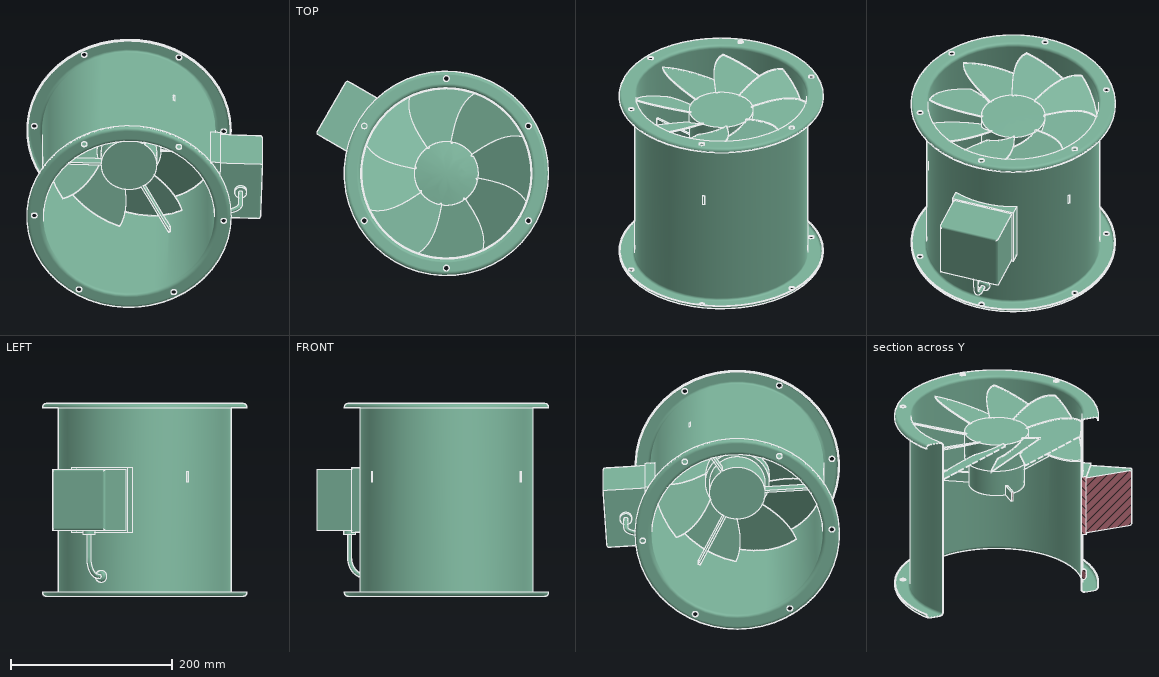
import cadquery as cq
import math

DUCT_HEIGHT = 240.0
SHEET = 1.5
TUBE_OUTER_RADIUS = 107.5
TUBE_INNER_RADIUS = TUBE_OUTER_RADIUS - SHEET
FLANGE_DIAMETER = 254.0
FLANGE_RADIUS = FLANGE_DIAMETER / 2
FLANGE_DEPTH = 5.8
BEND_INNER_RADIUS = 3.5
BEND_OUTER_RADIUS = BEND_INNER_RADIUS + SHEET
BOLT_COUNT = 6
BOLT_CIRCLE_RADIUS = 117.7
BOLT_HOLE_DIAMETER = 7.0
FIRST_BOLT_ANGLE = 30

HUB_RADIUS = 39.7
HUB_BOTTOM = 178.5
HUB_RIM = 214.7
HUB_DOME_RISE = 3.7
BLADE_COUNT = 8
BLADE_TIP_RADIUS = 105.3
BLADE_THICKNESS = 1.5
BLADE_PITCH = 28.4
BLADE_AXIS_HEIGHT = 202.5
BLADE_ROOT_RADIUS = 26.0
LEADING_EDGE = [(31.0, 23.3), (58.7, 39.7), (78.9, 46.0), (108.0, 39.7)]
TRAILING_EDGE = [(36.0, -11.5), (51.8, -26.8), (78.9, -42.3), (108.0, -44.0)]

MOTOR_RADIUS = 34.5
ARM_BOTTOM = 142.5
ARM_HEIGHT = 13.0
ARM_THICKNESS = 2.5
ARM_REACH = 106.8
ARM_ANGLES = [90, 210, 330]

BOX_ANGLE = 150
BOX_BOTTOM = 81.7
BOX_SIZE = 76.3
BOX_FACE_DISTANCE = 165.0
BOX_EDGE_RADIUS = 3.0
BRACKET_FACE_DISTANCE = 112.5
BRACKET_OVERHANG = 2.0
BRACKET_SIZE = BOX_SIZE + 2 * BRACKET_OVERHANG

CABLE_RADIUS = 2.5
CABLE_DISTANCE = (BRACKET_FACE_DISTANCE + BOX_FACE_DISTANCE) / 2
CABLE_BEND_RADIUS = 23.0
CABLE_LOW_HEIGHT = 25.0
GLAND_RADIUS = 7.5
GLAND_THICKNESS = 5.0
GLAND_ROUNDING = 3.5


def solid_cylinder(radius, bottom, top):
    """Cylinder on the duct axis between two heights."""
    return cq.Workplane("XY").workplane(offset=bottom).circle(radius).extrude(top - bottom)


def turned_to_box(body):
    """Turn a body modelled along +X to the side of the duct that carries the box."""
    return body.rotate((0, 0, 0), (0, 0, 1), BOX_ANGLE)


def motor_arm(angle):
    """Flat upright arm from the duct axis outwards."""
    arm = cq.Workplane("XY").box(ARM_REACH, ARM_THICKNESS, ARM_HEIGHT, centered=(False, True, False))
    return arm.translate((0, 0, ARM_BOTTOM)).rotate((0, 0, 0), (0, 0, 1), angle)


def make_motor_mount():
    mount = solid_cylinder(MOTOR_RADIUS, ARM_BOTTOM, HUB_BOTTOM)
    for angle in ARM_ANGLES:
        mount = mount.union(motor_arm(angle))
    return mount


def flange_ring():
    """Bottom flange: flared out of the tube, flat, then rolled up at the rim."""
    flare_radius = TUBE_INNER_RADIUS + BEND_OUTER_RADIUS
    rim_radius = FLANGE_RADIUS - BEND_OUTER_RADIUS
    bend_center_height = BEND_OUTER_RADIUS
    diagonal = math.sqrt(0.5)
    outer_leg = BEND_OUTER_RADIUS * diagonal
    inner_leg = BEND_INNER_RADIUS * diagonal
    outer_low = bend_center_height - outer_leg
    inner_low = bend_center_height - inner_leg
    profile = (
        cq.Workplane("XZ")
        .moveTo(TUBE_INNER_RADIUS, FLANGE_DEPTH)
        .lineTo(TUBE_INNER_RADIUS, bend_center_height)
        .threePointArc((flare_radius - outer_leg, outer_low), (flare_radius, 0))
        .lineTo(rim_radius, 0)
        .threePointArc((rim_radius + outer_leg, outer_low), (FLANGE_RADIUS, bend_center_height))
        .lineTo(FLANGE_RADIUS, FLANGE_DEPTH)
        .lineTo(FLANGE_RADIUS - SHEET, FLANGE_DEPTH)
        .lineTo(FLANGE_RADIUS - SHEET, bend_center_height)
        .threePointArc((rim_radius + inner_leg, inner_low), (rim_radius, SHEET))
        .lineTo(flare_radius, SHEET)
        .threePointArc((flare_radius - inner_leg, inner_low), (TUBE_OUTER_RADIUS, bend_center_height))
        .lineTo(TUBE_OUTER_RADIUS, FLANGE_DEPTH)
        .close()
    )
    return profile.revolve(360, (0, 0, 0), (0, 1, 0))


def make_duct():
    tube = solid_cylinder(TUBE_OUTER_RADIUS, FLANGE_DEPTH, DUCT_HEIGHT - FLANGE_DEPTH)
    tube = tube.cut(solid_cylinder(TUBE_INNER_RADIUS, 0, DUCT_HEIGHT))
    bottom_flange = flange_ring()
    top_flange = bottom_flange.mirror("XY").translate((0, 0, DUCT_HEIGHT))
    bolt_holes = (
        cq.Workplane("XY")
        .polarArray(BOLT_CIRCLE_RADIUS, FIRST_BOLT_ANGLE, 360, BOLT_COUNT)
        .circle(BOLT_HOLE_DIAMETER / 2)
        .extrude(DUCT_HEIGHT)
    )
    duct = tube.union(bottom_flange).union(top_flange).cut(bolt_holes)
    for angle in ARM_ANGLES:
        duct = duct.cut(motor_arm(angle))
    return duct


def make_hub():
    sphere_radius = (HUB_RADIUS**2 + HUB_DOME_RISE**2) / (2 * HUB_DOME_RISE)
    dome_top = HUB_RIM + HUB_DOME_RISE
    mid_radius = HUB_RADIUS / 2
    mid_height = dome_top - sphere_radius + math.sqrt(sphere_radius**2 - mid_radius**2)
    profile = (
        cq.Workplane("XZ")
        .moveTo(0, HUB_BOTTOM)
        .lineTo(HUB_RADIUS, HUB_BOTTOM)
        .lineTo(HUB_RADIUS, HUB_RIM)
        .threePointArc((mid_radius, mid_height), (0, dome_top))
        .close()
    )
    return profile.revolve(360, (0, 0, 0), (0, 1, 0))


def make_blade():
    """Blade along +X: a slanted plate trimmed to its plan outline and to the tip radius."""
    plate_size = 4 * BLADE_TIP_RADIUS
    plate = (
        cq.Workplane("XY")
        .box(plate_size, plate_size, BLADE_THICKNESS)
        .rotate((0, 0, 0), (1, 0, 0), BLADE_PITCH)
        .translate((0, 0, BLADE_AXIS_HEIGHT))
    )
    outline = (
        cq.Workplane("XY")
        .moveTo(BLADE_ROOT_RADIUS, 0)
        .lineTo(*LEADING_EDGE[0])
        .spline(LEADING_EDGE[1:], includeCurrent=True)
        .lineTo(*TRAILING_EDGE[-1])
        .spline(TRAILING_EDGE[-2::-1], includeCurrent=True)
        .close()
        .extrude(DUCT_HEIGHT)
    )
    tip_limit = solid_cylinder(BLADE_TIP_RADIUS, 0, DUCT_HEIGHT)
    return plate.intersect(outline).intersect(tip_limit)


def make_impeller():
    impeller = make_hub()
    blade = make_blade()
    for index in range(BLADE_COUNT):
        impeller = impeller.union(blade.rotate((0, 0, 0), (0, 0, 1), index * 360 / BLADE_COUNT))
    return impeller


def make_bracket():
    bracket = (
        cq.Workplane("XY")
        .box(BRACKET_FACE_DISTANCE, BRACKET_SIZE, BRACKET_SIZE, centered=(False, True, False))
        .translate((0, 0, BOX_BOTTOM - BRACKET_OVERHANG))
        .cut(solid_cylinder(TUBE_OUTER_RADIUS, 0, DUCT_HEIGHT))
    )
    return turned_to_box(bracket)


def make_terminal_box():
    depth = BOX_FACE_DISTANCE - BRACKET_FACE_DISTANCE
    box = (
        cq.Workplane("XY")
        .box(depth, BOX_SIZE, BOX_SIZE, centered=(False, True, False))
        .translate((BRACKET_FACE_DISTANCE, 0, BOX_BOTTOM))
        .faces(">X")
        .edges()
        .fillet(BOX_EDGE_RADIUS)
    )
    return turned_to_box(box)


def make_cable():
    bend_end = CABLE_DISTANCE - CABLE_BEND_RADIUS
    bend_top = CABLE_LOW_HEIGHT + CABLE_BEND_RADIUS
    bend_sag = CABLE_BEND_RADIUS * math.sqrt(0.5)
    path = (
        cq.Workplane("XZ")
        .moveTo(CABLE_DISTANCE, BOX_BOTTOM)
        .lineTo(CABLE_DISTANCE, bend_top)
        .threePointArc((bend_end + bend_sag, bend_top - bend_sag), (bend_end, CABLE_LOW_HEIGHT))
        .lineTo(TUBE_INNER_RADIUS, CABLE_LOW_HEIGHT)
    )
    cable = (
        cq.Workplane("XY", origin=(CABLE_DISTANCE, 0, BOX_BOTTOM))
        .circle(CABLE_RADIUS)
        .sweep(path)
    )
    box_gland = (
        cq.Workplane("XY", origin=(CABLE_DISTANCE, 0, BOX_BOTTOM))
        .circle(GLAND_RADIUS)
        .extrude(-GLAND_THICKNESS)
    )
    duct_gland = (
        cq.Workplane("YZ", origin=(TUBE_INNER_RADIUS, 0, CABLE_LOW_HEIGHT))
        .circle(GLAND_RADIUS)
        .extrude(SHEET + GLAND_THICKNESS)
        .faces(">X")
        .edges()
        .fillet(GLAND_ROUNDING)
    )
    cable = cable.union(box_gland).union(duct_gland)
    return turned_to_box(cable.cut(solid_cylinder(TUBE_OUTER_RADIUS, 0, DUCT_HEIGHT)))


duct = make_duct()
impeller = make_impeller()
motor_mount = make_motor_mount()
bracket = make_bracket()
terminal_box = make_terminal_box()
cable = make_cable()

result = cq.Compound.makeCompound(
    [
        duct.val(),
        impeller.val(),
        motor_mount.val(),
        bracket.val(),
        terminal_box.val(),
        cable.val(),
    ]
)